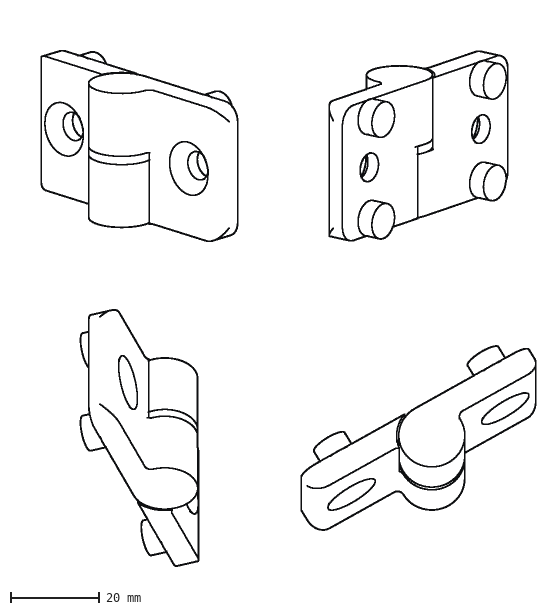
import cadquery as cq
import math

length = 60.0
height = 32.0
leaf_thickness = 6.0
knuckle_radius = 7.5
washer_height = 2.0
clearance_radius = 8.0
root_fillet_radius = 1.5
corner_radius = 4.0
screw_spacing = 40.45
screw_hole_diameter = 6.6
countersink_diameter = 12.5
countersink_angle = 90.0
boss_diameter = 8.2
boss_spacing = 24.0
boss_length = 4.0

half_length = length / 2
half_height = height / 2
back_y = knuckle_radius
front_y = back_y - leaf_thickness
screw_x = -screw_spacing / 2
washer_bottom = -washer_height / 2
knuckle_height = half_height + washer_bottom


def leaf_plate():
    """Full-height plate on the -X side, with its root fillet and rounded outer end."""
    arc_offset = root_fillet_radius * math.sqrt(0.5)
    fillet_x = -knuckle_radius - root_fillet_radius
    fillet_center_y = front_y - root_fillet_radius
    round_offset = corner_radius * (1 - math.sqrt(0.5))
    profile = (
        cq.Workplane("XY")
        .workplane(offset=-half_height)
        .moveTo(0, back_y)
        .lineTo(-half_length, back_y)
        .lineTo(-half_length, front_y + corner_radius)
        .threePointArc(
            (-half_length + round_offset, front_y + round_offset),
            (-half_length + corner_radius, front_y),
        )
        .lineTo(fillet_x, front_y)
        .threePointArc(
            (fillet_x + arc_offset, fillet_center_y + arc_offset),
            (-knuckle_radius, fillet_center_y),
        )
        .lineTo(0, fillet_center_y)
        .close()
        .extrude(height)
    )
    outline = (
        cq.Workplane("XY")
        .box(half_length, 2 * back_y, height)
        .translate((-half_length / 2, 0, 0))
        .edges("<X and |Y")
        .fillet(corner_radius)
    )
    return profile.intersect(outline)


def countersunk_hole():
    """Screw hole cutter, with its countersink in the front face."""
    hole_radius = screw_hole_diameter / 2
    sink_radius = countersink_diameter / 2
    sink_depth = (sink_radius - hole_radius) / math.tan(math.radians(countersink_angle / 2))
    return (
        cq.Workplane("XY")
        .moveTo(screw_x, front_y)
        .lineTo(screw_x - sink_radius, front_y)
        .lineTo(screw_x - hole_radius, front_y + sink_depth)
        .lineTo(screw_x - hole_radius, back_y)
        .lineTo(screw_x, back_y)
        .close()
        .revolve(360, (screw_x, front_y, 0), (screw_x, back_y, 0))
    )


def hinge_leaf():
    """Leaf on the -X side, carrying the lower knuckle."""
    clearance = (
        cq.Workplane("XY")
        .workplane(offset=washer_bottom)
        .circle(clearance_radius)
        .extrude(half_height - washer_bottom)
    )
    knuckle = (
        cq.Workplane("XY")
        .workplane(offset=-half_height)
        .circle(knuckle_radius)
        .extrude(knuckle_height)
    )
    leaf = leaf_plate().cut(clearance).union(knuckle).cut(countersunk_hole())
    for boss_z in (-boss_spacing / 2, boss_spacing / 2):
        boss = (
            cq.Workplane("XZ", origin=(screw_x, back_y, boss_z))
            .circle(boss_diameter / 2)
            .extrude(-boss_length)
        )
        leaf = leaf.union(boss)
    return leaf


def spacer_washer():
    """Plain disc between the two knuckles."""
    return (
        cq.Workplane("XY")
        .workplane(offset=washer_bottom)
        .circle(knuckle_radius)
        .extrude(washer_height)
    )


leaves = []
for turn in (0, 180):
    leaves.append(hinge_leaf().rotate((0, 0, 0), (0, 1, 0), turn).val())

washer = spacer_washer()

result = cq.Compound.makeCompound([*leaves, washer.val()])